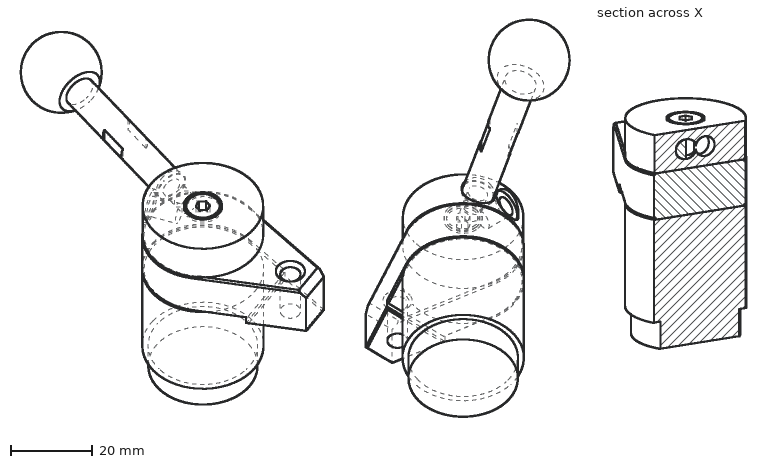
import cadquery as cq
import math

BODY_DIA = 29.9
EDGE_BREAK = 0.5
LOOSE_FIT = 0.6

SPIGOT_DIA = 27.0
SPIGOT_HEIGHT = 7.1
BASE_TOP = 34.0

ARM_TOP = 46.0
ARM_TIP_X = 32.1
ARM_TIP_WIDTH = 8.5
TIP_BEVEL = 2.0
FOOT_START_X = 18.0
FOOT_DROP = 1.9
FOOT_BREAK = 0.4
TAP_X = 25.0
TAP_DIA = 5.0
TAP_RIM_DIA = 7.2

HUB_DIA = 29.7
HUB_TOP = 56.0
GROOVE_OUTER_DIA = 9.4
GROOVE_INNER_DIA = 8.2
GROOVE_DEPTH = 1.0
HEX_ACROSS_FLATS = 3.0
HEX_DEPTH = 3.0
SEAT_FLOOR = 13.7
SEAT_HOLE_DEPTH = 7.5

LEVER_Z = 51.0
LEVER_ANGLE = 155.0
SPARE_SEAT_ANGLE = 190.0
LEVER_DIA = 7.95
STEM_LENGTH = 4.9
FLATS_WIDTH = 7.0
FLATS_LENGTH = 8.0
FLATS_DISTANCE = 33.9
KNOB_DIA = 20.0
KNOB_DISTANCE = 61.8
KNOB_FACE_DIA = 12.0

SEAT_DIA = LEVER_DIA + LOOSE_FIT
SEAT_HOLE_DIA = TAP_DIA
KNOB_FACE = KNOB_DISTANCE - math.sqrt(KNOB_DIA**2 - KNOB_FACE_DIA**2) / 2


def cylinder(diameter, bottom, top):
    return cq.Workplane("XY").workplane(offset=bottom).circle(diameter / 2).extrude(top - bottom)


def radial_cylinder(diameter, start, end, angle):
    """Cylinder at lever height, running outwards from the clamp axis between two distances."""
    along_x = cq.Workplane("YZ", origin=(start, 0, LEVER_Z)).circle(diameter / 2).extrude(end - start)
    return along_x.rotate((0, 0, 0), (0, 0, 1), angle)


def make_base():
    """Round body on a reduced spigot."""
    spigot = cylinder(SPIGOT_DIA, 0, SPIGOT_HEIGHT)
    return spigot.union(cylinder(BODY_DIA, SPIGOT_HEIGHT, BASE_TOP))


def arm_plan(bottom, top):
    """Round end with straight sides running tangent from it to the narrow tip."""
    radius = BODY_DIA / 2
    half_tip = ARM_TIP_WIDTH / 2
    tip_bearing = math.atan2(half_tip, ARM_TIP_X)
    tangent_bearing = tip_bearing + math.acos(radius / math.hypot(ARM_TIP_X, half_tip))
    tangent_x = radius * math.cos(tangent_bearing)
    tangent_y = radius * math.sin(tangent_bearing)
    return (
        cq.Workplane("XY")
        .workplane(offset=bottom)
        .moveTo(ARM_TIP_X, -half_tip)
        .lineTo(ARM_TIP_X, half_tip)
        .lineTo(tangent_x, tangent_y)
        .threePointArc((-radius, 0), (tangent_x, -tangent_y))
        .close()
        .extrude(top - bottom)
    )


def make_arm():
    slab = arm_plan(BASE_TOP, ARM_TOP).faces("<Z or >Z").chamfer(EDGE_BREAK)

    foot_bottom = BASE_TOP - FOOT_DROP
    foot_top = (BASE_TOP + ARM_TOP) / 2
    foot_length = ARM_TIP_X - FOOT_START_X
    foot_region = cq.Workplane("XY").box(foot_length, BODY_DIA, ARM_TOP, centered=(False, True, False))
    foot = arm_plan(foot_bottom, foot_top).intersect(foot_region.translate((FOOT_START_X, 0, 0)))
    arm = slab.union(foot.faces("<Z").chamfer(FOOT_BREAK))

    tip_bevel = (
        cq.Workplane("XZ")
        .polyline([
            (ARM_TIP_X, ARM_TOP),
            (ARM_TIP_X - TIP_BEVEL, ARM_TOP),
            (ARM_TIP_X, ARM_TOP - TIP_BEVEL),
        ])
        .close()
        .extrude(BODY_DIA / 2, both=True)
    )
    arm = arm.cut(tip_bevel)

    tap = cylinder(TAP_DIA, foot_bottom, ARM_TOP)
    rim_radius = TAP_RIM_DIA / 2
    countersink = cq.Workplane(
        cq.Solid.makeCone(0, rim_radius, rim_radius, pnt=cq.Vector(0, 0, ARM_TOP - rim_radius))
    )
    return arm.cut(tap.union(countersink).translate((TAP_X, 0, 0)))


def make_hub():
    """Round head with a ring groove, a hexagon socket and two radial lever seats."""
    hub = cylinder(HUB_DIA, ARM_TOP, HUB_TOP)

    groove_floor = HUB_TOP - GROOVE_DEPTH
    groove = cylinder(GROOVE_OUTER_DIA, groove_floor, HUB_TOP)
    hub = hub.cut(groove.cut(cylinder(GROOVE_INNER_DIA, groove_floor, HUB_TOP)))

    hex_across_corners = HEX_ACROSS_FLATS / math.cos(math.radians(30))
    hex_socket = (
        cq.Workplane("XY")
        .workplane(offset=HUB_TOP - HEX_DEPTH)
        .polygon(6, hex_across_corners)
        .extrude(HEX_DEPTH)
        .rotate((0, 0, 0), (0, 0, 1), LEVER_ANGLE)
    )
    hub = hub.cut(hex_socket)

    for angle in (LEVER_ANGLE, SPARE_SEAT_ANGLE):
        hub = hub.cut(radial_cylinder(SEAT_DIA, SEAT_FLOOR, HUB_DIA / 2, angle))
        hub = hub.cut(radial_cylinder(SEAT_HOLE_DIA, SEAT_FLOOR - SEAT_HOLE_DEPTH, SEAT_FLOOR, angle))
    return hub


def make_lever():
    """Round bar with two wrench flats and a thin end that sits in the hub."""
    lever = radial_cylinder(LEVER_DIA, SEAT_FLOOR, KNOB_FACE, 0)
    for side in (1, -1):
        flat_cut = cq.Workplane("XY").box(FLATS_LENGTH, LEVER_DIA, LEVER_DIA)
        flat_y = side * (FLATS_WIDTH + LEVER_DIA) / 2
        lever = lever.cut(flat_cut.translate((FLATS_DISTANCE, flat_y, LEVER_Z)))
    lever = lever.union(radial_cylinder(SEAT_HOLE_DIA, SEAT_FLOOR - STEM_LENGTH, SEAT_FLOOR, 0))
    return lever.rotate((0, 0, 0), (0, 0, 1), LEVER_ANGLE)


def make_knob():
    """Ball with a flat face towards the clamp axis."""
    ball = cq.Workplane("XY").sphere(KNOB_DIA / 2).translate((KNOB_DISTANCE, 0, LEVER_Z))
    ball = ball.rotate((0, 0, 0), (0, 0, 1), LEVER_ANGLE)
    return ball.cut(radial_cylinder(KNOB_DIA, 0, KNOB_FACE, LEVER_ANGLE))


base = make_base()
arm = make_arm()
hub = make_hub()
lever = make_lever()
knob = make_knob()

result = cq.Compound.makeCompound([base.val(), arm.val(), hub.val(), lever.val(), knob.val()])